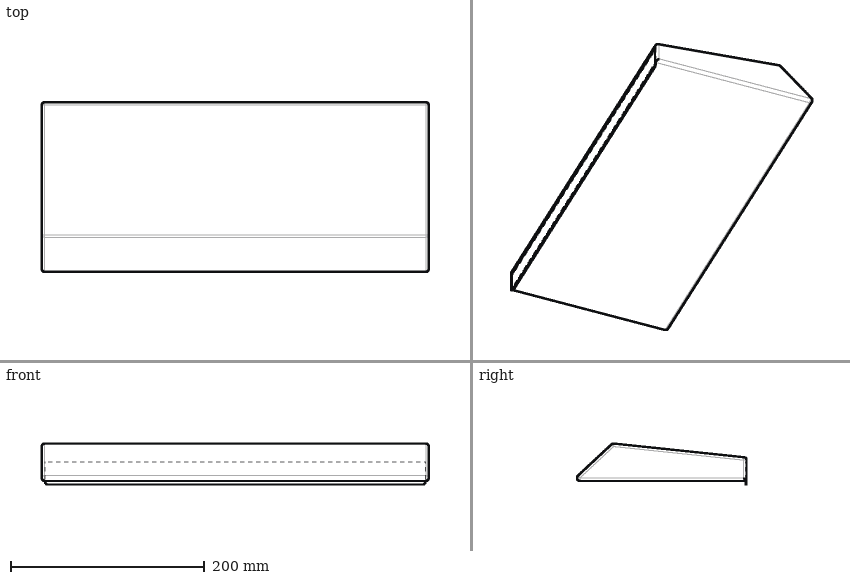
import cadquery as cq
import math

width = 400.0
overall_depth = 175.37
overall_height = 42.62
edge_radius = 3.2
top_slope = math.radians(6.0)
front_slope = math.radians(43.0)

plate_thickness = 1.0
plate_drop = 3.8
plate_top_margin = 5.0
plate_side_margin = 3.5
plate_corner = 2.0

tip_setback = edge_radius * (1 / math.tan(front_slope / 2) - 1)
sharp_depth = overall_depth + tip_setback

ridge_half_turn = (front_slope + top_slope) / 2
ridge_tilt = (front_slope - top_slope) / 2
ridge_setback = edge_radius * (math.cos(ridge_tilt) / math.cos(ridge_half_turn) - 1)
ridge_height = overall_height - plate_drop + ridge_setback

ridge_y = -sharp_depth + ridge_height / math.tan(front_slope)
back_height = ridge_height + ridge_y * math.tan(top_slope)


def make_rear_plate():
    plate_width = width - 2 * plate_side_margin
    plate_height = plate_drop + back_height - plate_top_margin
    return (
        cq.Workplane("XY")
        .box(plate_width, plate_thickness, plate_height, centered=(True, False, False))
        .translate((0, -plate_thickness, -plate_drop))
        .edges("|Y and <Z")
        .chamfer(plate_corner)
    )


def make_housing():
    wedge = (
        cq.Workplane("YZ")
        .polyline([(0, 0), (0, back_height), (ridge_y, ridge_height), (-sharp_depth, 0)])
        .close()
        .extrude(width / 2, both=True)
    )
    return wedge.edges("not (>Y and <Z)").fillet(edge_radius)


rear_plate = make_rear_plate()
housing = make_housing().cut(rear_plate)

result = cq.Compound.makeCompound([housing.val(), rear_plate.val()])